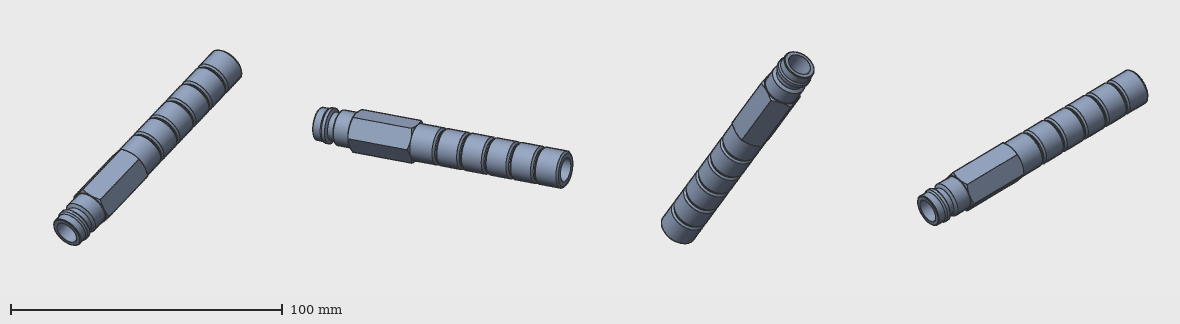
import cadquery as cq
import math

length = 100.0
bore_diameter = 9.0

handle_radius = 7.0
groove_depth = 0.75
groove_width = 2.0
groove_pitch = 10.0
groove_count = 5
first_groove_y = 50.0
handle_end_chamfer = 0.7

hex_across_flats = 14.0
hex_start_y = 14.8
hex_end_y = 40.0
hex_chamfer_angle = 30.0
hex_chamfer_end_radius = handle_radius

tip_radius = 6.2
tip_chamfer = 0.3
flange_radius = 6.7
flange_foot_y = 3.2
flange_front_y = 3.9
flange_back_y = 5.2
flange_neck_y = 5.8
neck_radius = 5.4
collar_start_y = 8.0
collar_bevel_length = 0.8
collar_end_y = 14.0
relief_radius = 6.6


def revolve_profile(points):
    """Revolve (radius, y) points, closed along the axis, about the Y axis."""
    start = (0, points[0][1])
    end = (0, points[-1][1])
    outline = cq.Workplane("XY").polyline([start] + points + [end]).close()
    return outline.revolve(360, (0, 0, 0), (0, 1, 0))


def make_nose():
    """Tip, bevelled flange, neck, bevelled collar and shallow relief."""
    return revolve_profile([
        (tip_radius - tip_chamfer, 0),
        (tip_radius, tip_chamfer),
        (tip_radius, flange_foot_y),
        (flange_radius, flange_front_y),
        (flange_radius, flange_back_y),
        (neck_radius, flange_neck_y),
        (neck_radius, collar_start_y),
        (flange_radius, collar_start_y + collar_bevel_length),
        (flange_radius, collar_end_y),
        (relief_radius, hex_start_y),
    ])


def make_hexagon():
    """Hexagonal grip with its corners turned down by a cone at each end."""
    corner_radius = hex_across_flats / math.sqrt(3)
    hex_length = hex_end_y - hex_start_y
    prism = (
        cq.Workplane("XZ", origin=(0, hex_start_y, 0))
        .polygon(6, 2 * corner_radius)
        .extrude(-hex_length)
    )
    chamfer_rise = corner_radius - hex_chamfer_end_radius
    chamfer_run = chamfer_rise * math.tan(math.radians(hex_chamfer_angle))
    envelope = revolve_profile([
        (hex_chamfer_end_radius, hex_start_y),
        (corner_radius, hex_start_y + chamfer_run),
        (corner_radius, hex_end_y - chamfer_run),
        (hex_chamfer_end_radius, hex_end_y),
    ])
    return prism.intersect(envelope)


def make_handle():
    """Round handle with evenly spaced grooves that have 45 degree sides."""
    groove_radius = handle_radius - groove_depth
    half_width = groove_width / 2
    half_floor = half_width - groove_depth
    points = [(handle_radius, hex_end_y)]
    for index in range(groove_count):
        middle_y = first_groove_y + index * groove_pitch
        points += [
            (handle_radius, middle_y - half_width),
            (groove_radius, middle_y - half_floor),
            (groove_radius, middle_y + half_floor),
            (handle_radius, middle_y + half_width),
        ]
    points += [
        (handle_radius, length - handle_end_chamfer),
        (handle_radius - handle_end_chamfer, length),
    ]
    return revolve_profile(points)


bore = cq.Workplane("XZ").circle(bore_diameter / 2).extrude(-length)

result = make_nose().union(make_hexagon()).union(make_handle()).cut(bore)